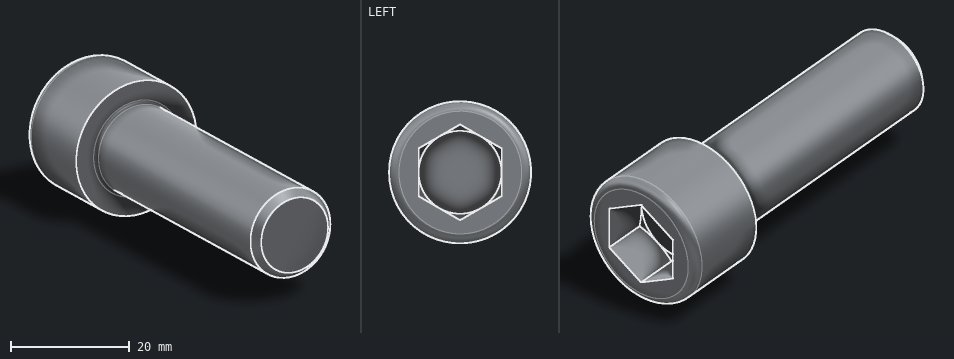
import cadquery as cq
import math

total_length = 66.0
head_diameter = 24.0
shank_diameter = 16.0
head_length = shank_diameter
head_rounding = 1.65
neck_fillet = 0.6
tip_chamfer = 1.3
socket_width = 14.0
socket_depth = 8.0
socket_bevel_angle = 25.0

head_radius = head_diameter / 2
shank_radius = shank_diameter / 2
socket_corner_diameter = socket_width / math.cos(math.radians(30))
corner_radius = socket_corner_diameter / 2
floor_radius = socket_width / 2
bevel_depth = (corner_radius - floor_radius) * math.tan(math.radians(socket_bevel_angle))


def make_head():
    head = cq.Workplane("YZ").circle(head_radius).extrude(head_length)
    return head.faces("<X").edges().fillet(head_rounding)


def make_shank():
    shank = cq.Workplane("YZ").workplane(offset=head_length).circle(shank_radius)
    shank = shank.extrude(total_length - head_length)
    return shank.faces(">X").edges().chamfer(tip_chamfer)


def make_neck():
    """Concave fillet ring where the shank meets the underside of the head."""
    arc_middle = neck_fillet * (1 - math.sqrt(0.5))
    return (
        cq.Workplane("XY")
        .moveTo(head_length, 0)
        .lineTo(head_length, shank_radius + neck_fillet)
        .threePointArc(
            (head_length + arc_middle, shank_radius + arc_middle),
            (head_length + neck_fillet, shank_radius),
        )
        .lineTo(head_length + neck_fillet, 0)
        .close()
        .revolve(360, (0, 0, 0), (1, 0, 0))
    )


def make_socket():
    """Hexagonal prism, corners at +Z and -Z, with a flat round floor and bevelled floor corners."""
    full_depth = socket_depth + bevel_depth
    prism = (
        cq.Workplane("YZ")
        .transformed(rotate=(0, 0, 90))
        .polygon(6, socket_corner_diameter)
        .extrude(full_depth)
    )
    envelope = (
        cq.Workplane("XY")
        .moveTo(0, 0)
        .lineTo(0, corner_radius)
        .lineTo(socket_depth, corner_radius)
        .lineTo(full_depth, floor_radius)
        .lineTo(full_depth, 0)
        .close()
        .revolve(360, (0, 0, 0), (1, 0, 0))
    )
    return prism.intersect(envelope)


result = make_head().union(make_shank()).union(make_neck()).cut(make_socket())